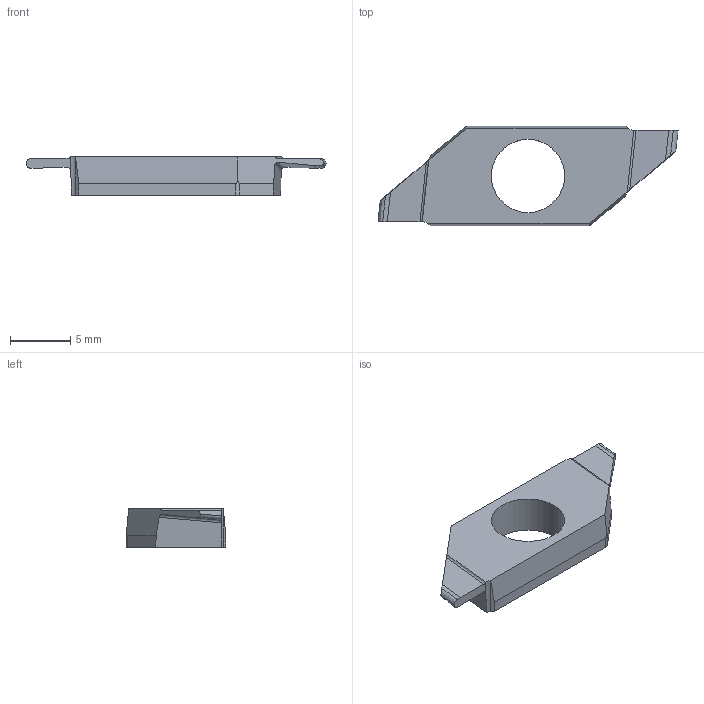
import cadquery as cq
import math


height = 3.18
half_width = 4.15
band_height = 0.94
draft = math.radians(5)
flank_angle = math.radians(40)
flank_corner_x = 5.17
flank_corner_radius = 0.5
hole_diameter = 6.11

half_length = 12.5
cutting_face_y = 3.8
blade_width = 0.79
nose_radius = blade_width / 2
blade_drop = 0.15
land_length = 0.78
land_fall = math.radians(1)
top_fall = math.radians(0.25)
under_relief = math.radians(1.5)
front_clearance = math.radians(6)
under_clearance = math.radians(5)
top_root_x = 8.81
top_root_radius = 0.2
end_wall_foot_x = 8.7
end_wall_draft = math.radians(2)
end_wall_radius = 0.3

nose_top_z = height - blade_drop
nose_z = nose_top_z - nose_radius
nose_center_x = -half_length + nose_radius
nose_diagonal = nose_radius * math.sin(math.pi / 4)
land_end_x = -half_length + land_length

shoulder_angle = math.radians(36)
shoulder_outer_x = 8.1
shoulder_radius = 0.75

overlap = 3.0
sweep_half_length = 2 * cutting_face_y


def half_turn(points):
    return [(-x, -y) for x, y in points]


def flank_x(y, offset=0.0):
    """X on the +X, -Y flank line at Y = y, moved outward by offset."""
    along = (y + half_width) / math.tan(flank_angle)
    return flank_corner_x + along + offset / math.sin(flank_angle)


def drafted_block():
    """Parallelogram with sides leaning inward towards the top."""
    growth = band_height * math.tan(draft)
    side = half_width + growth
    half_outline = [(flank_x(-side, growth), -side), (flank_x(side, growth), side)]
    outline = half_outline + half_turn(half_outline)
    return cq.Workplane("XY").polyline(outline).close().extrude(height, taper=math.degrees(draft))


def upright_prism():
    """Upright outline with rounded flank corners and shoulders behind the cutting faces."""
    shoulder_run = (half_width - cutting_face_y) / math.tan(shoulder_angle)
    shoulder_inner_x = shoulder_outer_x + shoulder_run
    half_outline = [
        (-flank_x(cutting_face_y), -cutting_face_y),
        (-shoulder_inner_x, -cutting_face_y),
        (-shoulder_outer_x, -half_width),
        (flank_corner_x, -half_width),
    ]
    outline = half_outline + half_turn(half_outline)
    prism = cq.Workplane("XY").polyline(outline).close().extrude(height)
    for side in (-1, 1):
        shoulder = (side * shoulder_inner_x, side * cutting_face_y, height / 2)
        prism = prism.edges(cq.NearestToPointSelector(shoulder)).fillet(shoulder_radius)
        flank_corner = (-side * flank_corner_x, side * half_width, height / 2)
        prism = prism.edges(cq.NearestToPointSelector(flank_corner)).fillet(flank_corner_radius)
    return prism


def sweep_from_cutting_face(profile, rise):
    """Push an XZ profile of the -X blade back from its cutting face, along the clearances."""
    direction = cq.Vector(math.tan(front_clearance), 1, rise)
    start = cq.Vector(0, -cutting_face_y, 0) - direction * sweep_half_length
    wire = profile.wire().val().translate(start)
    return cq.Workplane(cq.Solid.extrudeLinear(wire, [], direction * 2 * sweep_half_length))


def space_above_blade():
    """Everything above the -X blade: nose, sloping top and the small step up to the body."""
    land_end_z = nose_top_z + (land_end_x - nose_center_x) * math.tan(land_fall)
    root_z = land_end_z + (-top_root_x - land_end_x) * math.tan(top_fall)
    root_center_z = root_z + top_root_radius
    root_half_chord = math.sqrt(top_root_radius**2 - (root_center_z - height) ** 2)
    root_start_x = -top_root_x - root_half_chord
    arc_angle = math.asin(root_half_chord / top_root_radius) / 2
    root_middle = (
        root_start_x + top_root_radius * math.sin(arc_angle),
        root_center_z - top_root_radius * math.cos(arc_angle),
    )
    profile = (
        cq.Workplane("XZ")
        .moveTo(-half_length - overlap, nose_z)
        .lineTo(-half_length, nose_z)
        .threePointArc(
            (nose_center_x - nose_diagonal, nose_z + nose_diagonal),
            (nose_center_x, nose_top_z),
        )
        .lineTo(land_end_x, land_end_z)
        .lineTo(root_start_x, root_z)
        .threePointArc(root_middle, (-top_root_x, height))
        .lineTo(-top_root_x, height + overlap)
        .lineTo(-half_length - overlap, height + overlap)
        .close()
    )
    return sweep_from_cutting_face(profile, 0)


def space_below_blade():
    """Everything below the -X blade: nose, relieved underside and the end wall of the body."""
    underside_z = nose_top_z - blade_width
    wall_slope = math.tan(end_wall_draft)
    relief_slope = math.tan(under_relief)
    corner_z = underside_z + (-end_wall_foot_x - land_end_x) * relief_slope
    corner_z /= 1 + wall_slope * relief_slope
    corner_x = -end_wall_foot_x - corner_z * wall_slope
    profile = (
        cq.Workplane("XZ")
        .moveTo(-half_length - overlap, nose_z)
        .lineTo(-half_length, nose_z)
        .threePointArc(
            (nose_center_x - nose_diagonal, nose_z - nose_diagonal),
            (nose_center_x, underside_z),
        )
        .lineTo(land_end_x, underside_z)
        .lineTo(corner_x, corner_z)
        .lineTo(-end_wall_foot_x + overlap * wall_slope, -overlap)
        .lineTo(-half_length - overlap, -overlap)
        .close()
    )
    space = sweep_from_cutting_face(profile, math.tan(under_clearance))
    inner_edge = cq.NearestToPointSelector((corner_x, -cutting_face_y, corner_z))
    return space.edges(inner_edge).fillet(end_wall_radius)


insert = drafted_block().intersect(upright_prism())
for space in (space_above_blade(), space_below_blade()):
    for turn in (0, 180):
        insert = insert.cut(space.rotate((0, 0, 0), (0, 0, 1), turn))

result = insert.cut(cq.Workplane("XY").circle(hole_diameter / 2).extrude(height))